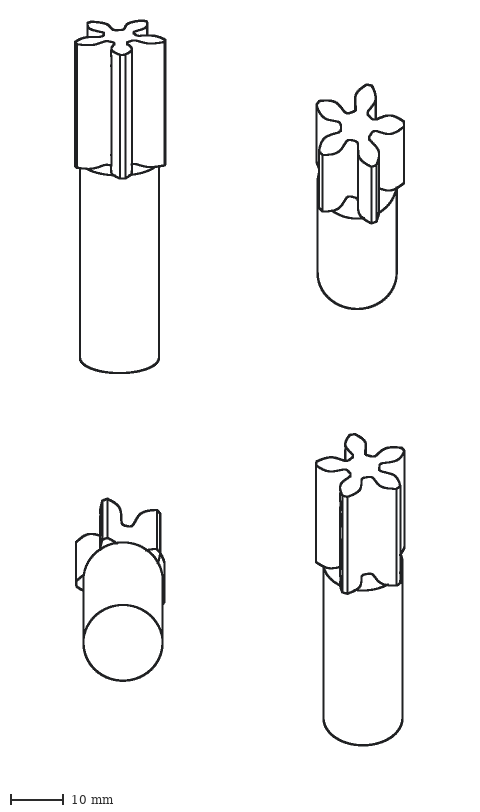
import cadquery as cq
import math

TOTAL_LENGTH = 66.04
GEAR_LENGTH = 25.4
SHAFT_DIAMETER = 15.0

TOOTH_COUNT = 5
GEAR_ROTATION = 1.0
TIP_RADIUS = 8.89
TIP_HALF_ANGLE = 3.35
ROOT_RADIUS = 3.1
ROOT_HALF_ANGLE = 5.0
ROOT_FILLET = 0.85
FLANK_START_SLOPE = 21.0
FLANK_END_SLOPE = -40.0
CREST_DISTANCE = 6.1
TOOTH_WIDTH = 3.9

SHAFT_LENGTH = TOTAL_LENGTH - GEAR_LENGTH
PITCH_ANGLE = 360.0 / TOOTH_COUNT
HALF_PITCH = PITCH_ANGLE / 2


def polar(radius, degrees):
    """Point at a given radius and angle."""
    angle = math.radians(degrees)
    return (radius * math.cos(angle), radius * math.sin(angle))


def offset(point, distance, degrees):
    """Point moved a distance in a given direction."""
    dx, dy = polar(distance, degrees)
    return (point[0] + dx, point[1] + dy)


def turn(point, degrees):
    """Point rotated about the gear axis."""
    return polar(math.hypot(*point), math.degrees(math.atan2(point[1], point[0])) + degrees)


def mirror(point):
    """Point reflected across the axis of the tooth that lies along +X."""
    return (point[0], -point[1])


TIP_CORNER = polar(TIP_RADIUS, TIP_HALF_ANGLE)
FLANK_CREST = (CREST_DISTANCE, TOOTH_WIDTH / 2)
ROOT_CORNER_ANGLE = HALF_PITCH - ROOT_HALF_ANGLE
ROOT_CORNER = polar(ROOT_RADIUS, ROOT_CORNER_ANGLE)
FILLET_CENTER = polar(ROOT_RADIUS + ROOT_FILLET, ROOT_CORNER_ANGLE)
FILLET_ROOT_END = ROOT_CORNER_ANGLE - 180
FILLET_FLANK_END = FLANK_START_SLOPE - 90
FILLET_MIDDLE = offset(FILLET_CENTER, ROOT_FILLET, (FILLET_ROOT_END + FILLET_FLANK_END) / 2)
FLANK_START = offset(FILLET_CENTER, ROOT_FILLET, FILLET_FLANK_END)


def add_tooth(outline, angle):
    """Continue the outline counterclockwise over one tooth and the gap after it."""

    def place(point):
        return turn(point, angle)

    outline = outline.threePointArc(place(mirror(FILLET_MIDDLE)), place(mirror(FLANK_START)))
    outline = outline.spline(
        [place(mirror(FLANK_CREST)), place(mirror(TIP_CORNER))],
        tangents=[polar(1, angle - FLANK_START_SLOPE), polar(1, angle - FLANK_END_SLOPE)],
        includeCurrent=True,
    )
    outline = outline.threePointArc(polar(TIP_RADIUS, angle), place(TIP_CORNER))
    outline = outline.spline(
        [place(FLANK_CREST), place(FLANK_START)],
        tangents=[polar(1, angle + FLANK_END_SLOPE + 180), polar(1, angle + FLANK_START_SLOPE + 180)],
        includeCurrent=True,
    )
    outline = outline.threePointArc(place(FILLET_MIDDLE), place(ROOT_CORNER))
    gap_middle = polar(ROOT_RADIUS, angle + HALF_PITCH)
    next_tooth_start = turn(mirror(ROOT_CORNER), angle + PITCH_ANGLE)
    return outline.threePointArc(gap_middle, next_tooth_start)


def make_gear():
    """Toothed section standing on the top end of the shaft."""
    start = turn(mirror(ROOT_CORNER), GEAR_ROTATION)
    outline = cq.Workplane("XY").workplane(offset=SHAFT_LENGTH).moveTo(*start)
    for index in range(TOOTH_COUNT):
        outline = add_tooth(outline, GEAR_ROTATION + index * PITCH_ANGLE)
    return outline.close().extrude(GEAR_LENGTH)


def make_shaft():
    """Plain cylindrical shank rising from Z = 0."""
    return cq.Workplane("XY").circle(SHAFT_DIAMETER / 2).extrude(SHAFT_LENGTH)


result = make_shaft().union(make_gear())